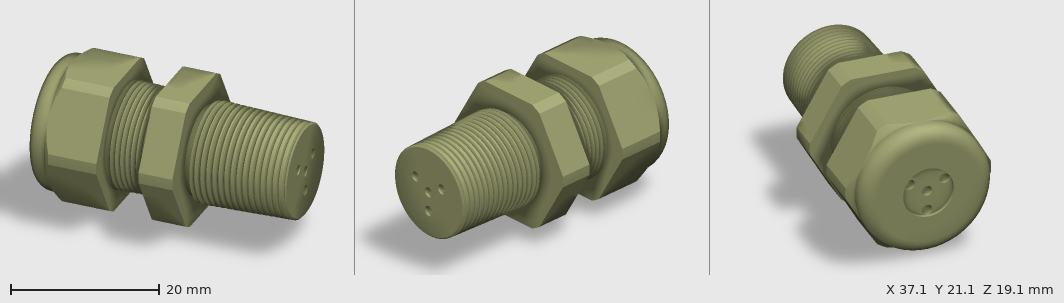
import cadquery as cq
import math


TOTAL_LENGTH = 37.08
ACROSS_FLATS = 19.05
ACROSS_CORNERS = 21.15
HEXAGON_TURN = 30
FLAT_RADIUS = ACROSS_FLATS / 2
CORNER_RADIUS = ACROSS_CORNERS / 2

CAP_LENGTH = 10.9
DOME_RADIUS = 2.05
CAP_CHAMFER_START = 2.8
CAP_CHAMFER_END = CAP_CHAMFER_START + CORNER_RADIUS - FLAT_RADIUS

COLLAR_START = 17.1
COLLAR_LENGTH = 4.97
COLLAR_END = COLLAR_START + COLLAR_LENGTH

CREST_TAPER = 1 / 32
GROOVE_ANGLE = 60
FLANK_SLOPE = math.tan(math.radians(GROOVE_ANGLE / 2))
SAME_POINT = 3.71e-07

NECK_CREST_RADIUS = 7.6
NECK_ROOT_RADIUS = 6.97
NECK_FIRST_GROOVE = 11.27
NECK_LAST_GROOVE = 16.6
NECK_GROOVES = 8

TAIL_CREST_RADIUS = 7.23
TAIL_ROOT_RADIUS = 6.5
TAIL_FIRST_GROOVE = 23.45
TAIL_LAST_GROOVE = 36.7
TAIL_GROOVES = 16
TAIL_END_RADIUS = 6.53

RUNOUT_START_RADIUS = 6.38
RUNOUT_ARC_RADIUS = 1.08
RUNOUT_CREST_X = 23.05

INSERT_RADIUS = 3.93
RECESS_RADIUS = 3.67
RECESS_DEPTH = 0.52
WIRE_HOLE_RADIUS = 0.75
WIRE_CIRCLE_RADIUS = 2.9
OUTER_WIRE_HOLES = 3


def cylinder(start, end, radius):
    """Solid cylinder on the X axis."""
    return cq.Workplane("YZ").workplane(offset=start).circle(radius).extrude(end - start)


def revolve_about_x(profile):
    """Revolve a closed X-radius profile, drawn in the XZ plane, about the X axis."""
    return profile.close().revolve(360, (0, 0, 0), (1, 0, 0))


def hexagon(start, end):
    """Hexagonal prism with flats facing +Z and -Z and corners turned round."""
    prism = (
        cq.Workplane("YZ")
        .workplane(offset=start)
        .polygon(6, ACROSS_FLATS, circumscribed=True)
        .extrude(end - start)
        .rotate((0, 0, 0), (1, 0, 0), HEXAGON_TURN)
    )
    return prism.intersect(cylinder(start, end, CORNER_RADIUS))


def groove_points(first, last, count, root_radius, thread_start, crest_radius):
    """Profile points (edge, root, edge) of each V groove; grooves that meet share a sharp crest."""
    pitch = (last - first) / (count - 1)
    crest_at_origin = crest_radius + CREST_TAPER * thread_start
    points = []
    for index in range(count):
        root_x = first + index * pitch
        height = crest_at_origin - CREST_TAPER * root_x - root_radius
        left = min(height * FLANK_SLOPE / (1 - CREST_TAPER * FLANK_SLOPE), pitch / 2)
        right = min(height * FLANK_SLOPE / (1 + CREST_TAPER * FLANK_SLOPE), pitch / 2)
        points.append((root_x - left, root_radius + left / FLANK_SLOPE))
        points.append((root_x, root_radius))
        points.append((root_x + right, root_radius + right / FLANK_SLOPE))
    return points


def without_repeats(points):
    """Drop each point that coincides with the one before it."""
    kept = points[:1]
    for point in points[1:]:
        if math.dist(point, kept[-1]) > SAME_POINT:
            kept.append(point)
    return kept


def make_cap():
    dome = cylinder(0, CAP_LENGTH, FLAT_RADIUS).faces("<X").edges().fillet(DOME_RADIUS)
    chamfer_cone = revolve_about_x(
        cq.Workplane("XZ").polyline([
            (CAP_CHAMFER_START, 0),
            (CAP_CHAMFER_START, FLAT_RADIUS),
            (CAP_CHAMFER_END, CORNER_RADIUS),
            (CAP_LENGTH, CORNER_RADIUS),
            (CAP_LENGTH, 0),
        ])
    )
    return dome.union(hexagon(CAP_CHAMFER_START, CAP_LENGTH).intersect(chamfer_cone))


def make_neck_thread():
    grooves = groove_points(
        NECK_FIRST_GROOVE, NECK_LAST_GROOVE, NECK_GROOVES,
        NECK_ROOT_RADIUS, CAP_LENGTH, NECK_CREST_RADIUS,
    )
    end_radius = NECK_CREST_RADIUS - CREST_TAPER * (COLLAR_START - CAP_LENGTH)
    outline = [
        (CAP_LENGTH, 0),
        (CAP_LENGTH, NECK_CREST_RADIUS),
        *grooves,
        (COLLAR_START, end_radius),
        (COLLAR_START, 0),
    ]
    return revolve_about_x(cq.Workplane("XZ").polyline(without_repeats(outline)))


def make_tail_thread():
    grooves = groove_points(
        TAIL_FIRST_GROOVE, TAIL_LAST_GROOVE, TAIL_GROOVES,
        TAIL_ROOT_RADIUS, COLLAR_END, TAIL_CREST_RADIUS,
    )
    run = RUNOUT_CREST_X - COLLAR_END
    sweep = math.asin(run / RUNOUT_ARC_RADIUS)

    def runout_point(angle):
        rise = RUNOUT_ARC_RADIUS * (1 - math.cos(angle))
        return (COLLAR_END + RUNOUT_ARC_RADIUS * math.sin(angle), RUNOUT_START_RADIUS + rise)

    profile = (
        cq.Workplane("XZ")
        .moveTo(COLLAR_END, 0)
        .lineTo(COLLAR_END, RUNOUT_START_RADIUS)
        .threePointArc(runout_point(sweep / 2), runout_point(sweep))
    )
    for point in without_repeats(grooves[1:]):
        profile = profile.lineTo(*point)
    profile = profile.lineTo(TOTAL_LENGTH, TAIL_END_RADIUS).lineTo(TOTAL_LENGTH, 0)
    return revolve_about_x(profile)


def make_housing():
    solid = (
        make_cap()
        .union(make_neck_thread())
        .union(hexagon(COLLAR_START, COLLAR_END))
        .union(make_tail_thread())
    )
    return solid.cut(cylinder(0, TOTAL_LENGTH, INSERT_RADIUS))


def make_insert():
    insert = cylinder(0, TOTAL_LENGTH, INSERT_RADIUS).cut(cylinder(0, RECESS_DEPTH, RECESS_RADIUS))
    wire_centres = [(0, 0)]
    for index in range(OUTER_WIRE_HOLES):
        angle = -math.pi / 2 + index * 2 * math.pi / OUTER_WIRE_HOLES
        wire_centres.append((WIRE_CIRCLE_RADIUS * math.cos(angle), WIRE_CIRCLE_RADIUS * math.sin(angle)))
    wire_holes = (
        cq.Workplane("YZ").pushPoints(wire_centres).circle(WIRE_HOLE_RADIUS).extrude(TOTAL_LENGTH)
    )
    return insert.cut(wire_holes)


housing = make_housing()
insert = make_insert()

result = cq.Compound.makeCompound([housing.solids().val(), insert.solids().val()])